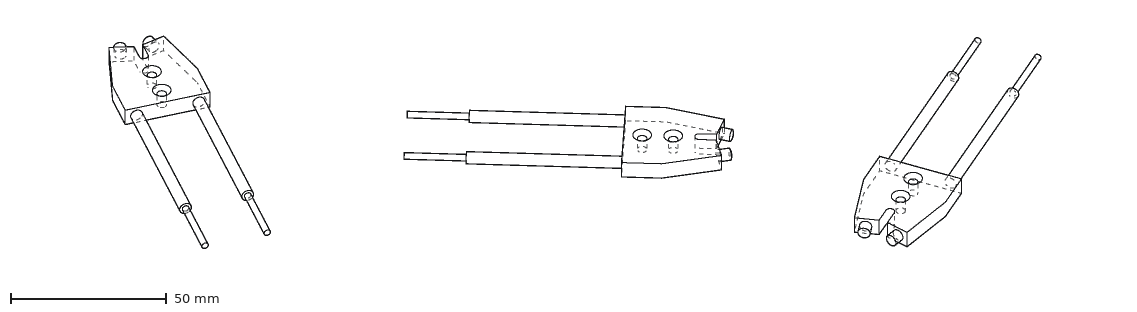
import cadquery as cq
import math

housing_length = 32.0
housing_width = 28.7
housing_thickness = 6.0
straight_length = 12.9
taper_angle = 15.0
slot_width = 2.9
slot_depth = 9.0

hole_diameter = 3.0
countersink_diameter = 6.0
countersink_angle = 90.0
hole_spacing = 10.0
rear_hole_inset = 6.0

tip_diameter = 4.0
tip_length = 4.1
tip_dome_height = 0.5
tip_root_y = 5.7

cable_pitch = 21.0
sheath_diameter = 4.0
sheath_length = 50.0
core_diameter = 2.2
core_length = 20.0

slope = math.tan(math.radians(taper_angle))
nose_x = -housing_length
shoulder_y = housing_width / 2
taper_length = housing_length - straight_length
nose_y = shoulder_y - taper_length * slope
slot_half = slot_width / 2
nose_inner_x = nose_x + (nose_y - slot_half) * slope
tip_root_x = nose_x + (nose_y - tip_root_y) * slope


def make_housing():
    slot_end_x = nose_x + slot_depth
    slot_straight_end_x = slot_end_x - slot_half
    body = (
        cq.Workplane("XY")
        .workplane(offset=-housing_thickness / 2)
        .moveTo(0, shoulder_y)
        .lineTo(-straight_length, shoulder_y)
        .lineTo(nose_x, nose_y)
        .lineTo(nose_inner_x, slot_half)
        .lineTo(slot_straight_end_x, slot_half)
        .threePointArc((slot_end_x, 0), (slot_straight_end_x, -slot_half))
        .lineTo(nose_inner_x, -slot_half)
        .lineTo(nose_x, -nose_y)
        .lineTo(-straight_length, -shoulder_y)
        .lineTo(0, -shoulder_y)
        .close()
        .extrude(housing_thickness)
    )
    hole_places = [(-rear_hole_inset - i * hole_spacing, 0) for i in range(2)]
    return (
        body.faces(">Z")
        .workplane(origin=(0, 0, housing_thickness / 2))
        .pushPoints(hole_places)
        .cskHole(hole_diameter, countersink_diameter, countersink_angle)
    )


def make_tip(side):
    """Dome-ended pin square to one nose face; side is +1 or -1 in Y."""
    angle = math.radians(taper_angle)
    outward = (-math.cos(angle), -side * math.sin(angle), 0)
    profile_plane = cq.Plane(
        origin=(tip_root_x, side * tip_root_y, 0),
        xDir=(0, 0, 1),
        normal=(-outward[1], outward[0], 0),
    )
    radius = tip_diameter / 2
    rim_height = tip_length - tip_dome_height
    dome_radius = (radius**2 + tip_dome_height**2) / (2 * tip_dome_height)
    dome_center = tip_length - dome_radius
    half_angle = math.asin(radius / dome_radius) / 2
    dome_mid = (
        dome_radius * math.sin(half_angle),
        dome_center + dome_radius * math.cos(half_angle),
    )
    return (
        cq.Workplane(profile_plane)
        .lineTo(radius, 0)
        .lineTo(radius, rim_height)
        .threePointArc(dome_mid, (0, tip_length))
        .close()
        .revolve(360, (0, 0), (0, 1))
    )


def make_cable(side):
    """Sheath with its bare core at the free end; side is +1 or -1 in Y."""
    rear_plane = cq.Workplane("YZ").center(side * cable_pitch / 2, 0)
    sheath = rear_plane.circle(sheath_diameter / 2).extrude(sheath_length)
    return sheath.faces(">X").workplane().circle(core_diameter / 2).extrude(core_length)


housing = make_housing()
tips = [make_tip(side) for side in (1, -1)]
cables = [make_cable(side) for side in (1, -1)]

result = cq.Compound.makeCompound(
    [housing.val()] + [tip.val() for tip in tips] + [cable.val() for cable in cables]
)